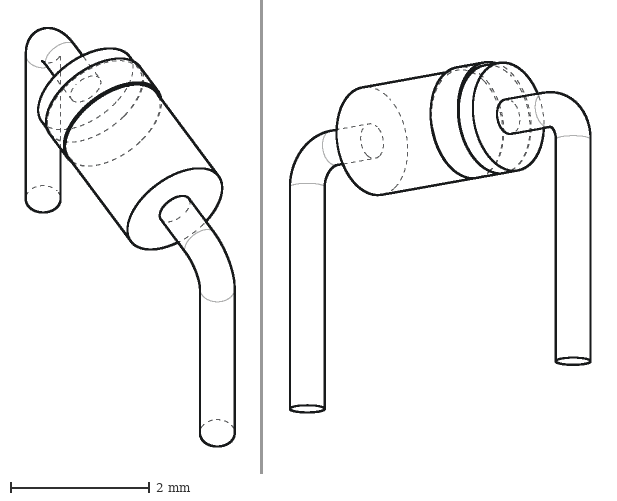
import cadquery as cq

overall_length = 5.58
lead_diameter = 0.51
body_diameter = 1.585
body_length = 2.6
overall_height = 4.63

band_diameter = 1.63
band_length = 0.52
band_inset = 0.27
band_rise = (band_diameter - body_diameter) / 2

lead_span = overall_length - lead_diameter
lead_radius = lead_diameter / 2
bend_radius = lead_diameter
band_top = band_rise + band_diameter / 2
lead_drop = overall_height - band_top


def cylinder_along_x(diameter, length, start_x, center_z=0):
    """Solid cylinder running in +X from start_x."""
    plane = cq.Workplane("YZ", origin=(start_x, 0, center_z))
    return plane.circle(diameter / 2).extrude(length)


def make_left_lead():
    """Round wire from the middle of the body, out to -X and down to its tip."""
    lead_x = -lead_span / 2
    path = (
        cq.Workplane("XZ")
        .moveTo(lead_x, -lead_drop)
        .lineTo(lead_x, -bend_radius)
        .radiusArc((lead_x + bend_radius, 0), bend_radius)
        .lineTo(0, 0)
    )
    tip = cq.Workplane("XY", origin=(lead_x, 0, -lead_drop))
    return tip.circle(lead_radius).sweep(path)


body_start = -body_length / 2
body = cylinder_along_x(body_diameter, body_length, body_start)
band = cylinder_along_x(band_diameter, band_length, body_start + band_inset, band_rise)
left_lead = make_left_lead()
right_lead = left_lead.mirror("YZ")

result = body.union(band).union(left_lead).union(right_lead)